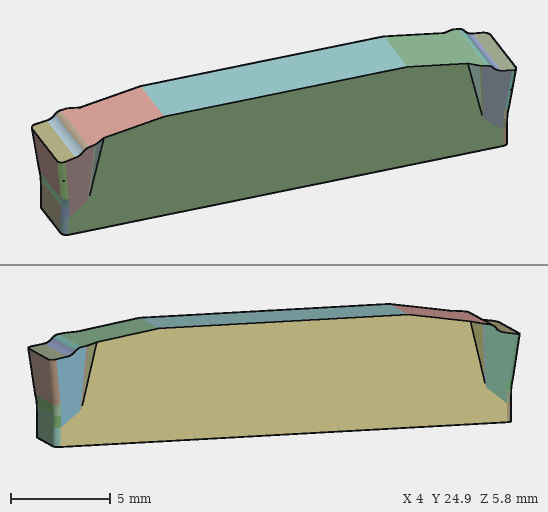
import cadquery as cq
import math

LENGTH = 24.85
HEIGHT = 5.8
BODY_WIDTH = 3.23
HALF_LENGTH = LENGTH / 2
HALF_BODY = BODY_WIDTH / 2

CUTTING_EDGE_Z = 4.52
FOOT_SETBACK = 0.35
FOOT_TOP_Z = 1.65
LEAN_START_Z = 2.2
LEAN_ANGLE = 7.0
CORNER_RADIUS = 0.3

RAKE_END = (0.9, 4.67)
CHIP_RAMP_MIDDLE = (1.35, 4.95)
CHIP_RAMP_END = (1.67, 5.12)
FLAT_START = 5.85

FLANK_SLOPE_Z = 0.1
FLANK_SLOPE_Y = 0.08
FLANK_RUNOUT_INSET = 0.67
FLANK_RUNOUT_Z = 1.0

SHOULDER_INSET = 1.77
SHOULDER_Z = 1.91
SHOULDER_LEAN = 0.24
SHOULDER_SLOPE = 1.8
SHOULDER_RADIUS = 0.2

HEAD_OVERRUN = 0.25
HEAD_EMBED = 0.5
BLANK_WIDTH = 2 * BODY_WIDTH
CORNER_SEARCH_MARGIN = 0.02


def arc_middle(start, end, start_direction):
    """Middle of the arc leaving start along start_direction (radians)."""
    chord = math.hypot(end[0] - start[0], end[1] - start[1])
    chord_direction = math.atan2(end[1] - start[1], end[0] - start[0])
    half_turn = chord_direction - start_direction
    bulge = chord / 2 * math.tan(half_turn / 2)
    return (
        (start[0] + end[0]) / 2 + bulge * math.sin(chord_direction),
        (start[1] + end[1]) / 2 - bulge * math.cos(chord_direction),
    )


def direction(start, end):
    return math.atan2(end[1] - start[1], end[0] - start[0])


def from_end(inset_point):
    """Turn (inset, height) into (Y, Z) at the +Y end."""
    return (HALF_LENGTH - inset_point[0], inset_point[1])


def side_outline():
    """Solid with the full lengthwise outline and excess width."""
    lean_start_inset = (CUTTING_EDGE_Z - LEAN_START_Z) * math.tan(math.radians(LEAN_ANGLE))
    foot_bottom = (FOOT_SETBACK, 0)
    foot_top = (FOOT_SETBACK, FOOT_TOP_Z)
    lean_start = (lean_start_inset, LEAN_START_Z)
    cutting_edge = (0, CUTTING_EDGE_Z)
    flat_start = (FLAT_START, HEIGHT)

    foot_blend = arc_middle(foot_top, lean_start, math.pi / 2)
    concave_ramp = arc_middle(RAKE_END, CHIP_RAMP_MIDDLE, direction(cutting_edge, RAKE_END))
    convex_ramp = arc_middle(CHIP_RAMP_END, CHIP_RAMP_MIDDLE, direction(flat_start, CHIP_RAMP_END))

    half = (
        cq.Workplane("YZ")
        .lineTo(*from_end(foot_bottom))
        .lineTo(*from_end(foot_top))
        .threePointArc(from_end(foot_blend), from_end(lean_start))
        .lineTo(*from_end(cutting_edge))
        .lineTo(*from_end(RAKE_END))
        .threePointArc(from_end(concave_ramp), from_end(CHIP_RAMP_MIDDLE))
        .threePointArc(from_end(convex_ramp), from_end(CHIP_RAMP_END))
        .lineTo(*from_end(flat_start))
        .lineTo(0, HEIGHT)
        .close()
        .extrude(BLANK_WIDTH / 2, both=True)
    )
    return half.union(half.mirror("XZ"))


def head_section(z):
    """Corners of the head cross-section at height z, at the +Y end."""
    flank_at_end = (
        HALF_BODY + FLANK_SLOPE_Z * (z - FLANK_RUNOUT_Z) + FLANK_SLOPE_Y * FLANK_RUNOUT_INSET
    )
    shoulder_at_body = SHOULDER_INSET + SHOULDER_LEAN * (z - SHOULDER_Z)
    corner_inset = (shoulder_at_body - SHOULDER_SLOPE * (flank_at_end - HALF_BODY)) / (
        1 - SHOULDER_SLOPE * FLANK_SLOPE_Y
    )
    inner_x = HALF_BODY - HEAD_EMBED
    right_side = [
        (flank_at_end + FLANK_SLOPE_Y * HEAD_OVERRUN, -HEAD_OVERRUN),
        (flank_at_end - FLANK_SLOPE_Y * corner_inset, corner_inset),
        (inner_x, shoulder_at_body + SHOULDER_SLOPE * HEAD_EMBED),
    ]
    left_side = [(-x, inset) for x, inset in reversed(right_side)]
    return [(x, HALF_LENGTH - inset) for x, inset in right_side + left_side]


def head():
    """Tapered head with the edges between flank and shoulder rounded."""
    block = (
        cq.Workplane("XY")
        .polyline(head_section(0))
        .close()
        .workplane(offset=HEIGHT)
        .polyline(head_section(HEIGHT))
        .close()
        .loft(ruled=True)
    )
    bottom_corner = head_section(0)[1]
    top_corner = head_section(HEIGHT)[1]
    middle = [(low + high) / 2 for low, high in zip(bottom_corner, top_corner)]
    for side in (1, -1):
        block = block.edges(
            cq.selectors.NearestToPointSelector((side * middle[0], middle[1], HEIGHT / 2))
        ).fillet(SHOULDER_RADIUS)
    return block


def round_end_corners(part):
    """Round the four upright corner lines from the base to the cutting edge."""
    end_zone = FOOT_SETBACK + CORNER_SEARCH_MARGIN
    corners = [
        edge
        for edge in part.edges().vals()
        if abs(edge.Center().y) > HALF_LENGTH - end_zone
        and abs(edge.Center().x) > HALF_BODY - HEAD_EMBED
        and edge.BoundingBox().zlen > edge.BoundingBox().ylen
    ]
    return part.newObject(corners).fillet(CORNER_RADIUS)


body = cq.Workplane("XY").box(BODY_WIDTH, LENGTH, HEIGHT, centered=(True, True, False))
back_head = head()
blank = body.union(back_head).union(back_head.mirror("XZ"))
result = round_end_corners(blank.intersect(side_outline()))